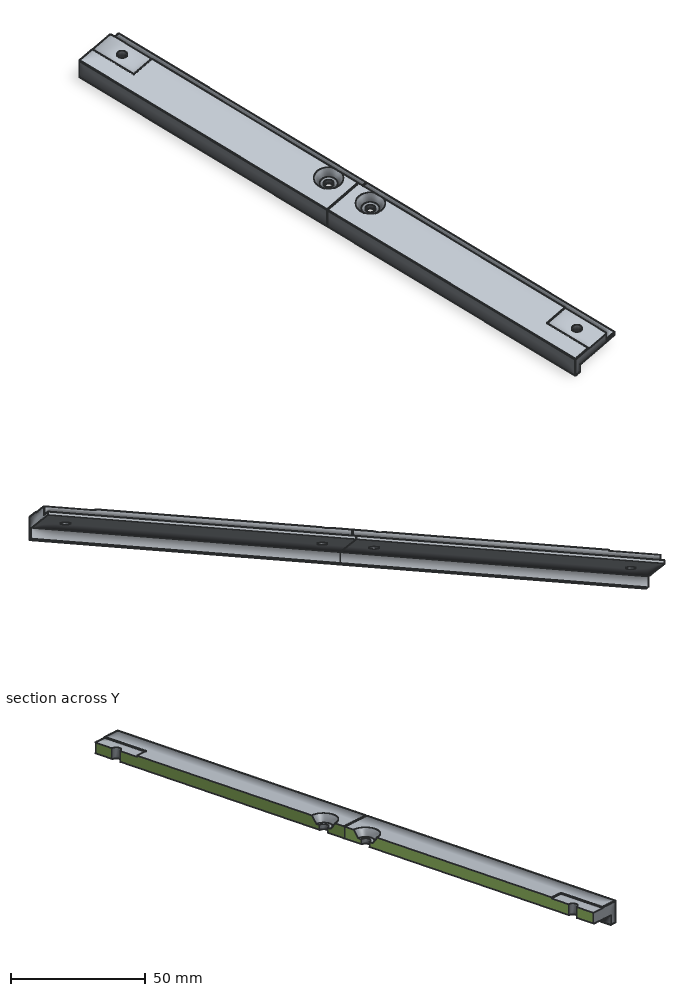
import cadquery as cq

TOTAL_LENGTH = 240.0
RAIL_LENGTH = TOTAL_LENGTH / 2
WIDTH = 23.0
HEIGHT = 9.0

PLATE_THICKNESS = 5.0
LIP_THICKNESS = 3.0
TONGUE_WIDTH = 4.8
TONGUE_THICKNESS = 1.5
EDGE_CHAMFER = 0.2

HOLE_FROM_END = 10.0
HOLE_FROM_BACK = 10.0
HOLE_DIAMETER = 3.8
SINK_TOP_DIAMETER = 11.0
SINK_FLOOR_DIAMETER = 6.7
SINK_DEPTH = 3.0
RECESS_LENGTH = 2 * HOLE_FROM_END
RECESS_WIDTH = 2 * (HOLE_FROM_BACK - TONGUE_WIDTH)
RECESS_DEPTH = 0.5

FRONT_Y = -WIDTH / 2
BACK_Y = WIDTH / 2
TOP_Z = HEIGHT / 2
BOTTOM_Z = -HEIGHT / 2
PLATE_BOTTOM_Z = TOP_Z - PLATE_THICKNESS
LIP_INNER_Y = FRONT_Y + LIP_THICKNESS
TONGUE_TOP_Z = PLATE_BOTTOM_Z + TONGUE_THICKNESS
WALL_Y = BACK_Y - TONGUE_WIDTH
HOLE_Y = BACK_Y - HOLE_FROM_BACK
INNER_HOLE_X = -HOLE_FROM_END
OUTER_HOLE_X = -RAIL_LENGTH + HOLE_FROM_END


def rail_blank():
    """Left rail without holes: the section extruded from the outer end to the joint at X = 0."""
    section = [
        (FRONT_Y, BOTTOM_Z),
        (LIP_INNER_Y, BOTTOM_Z),
        (LIP_INNER_Y, PLATE_BOTTOM_Z),
        (BACK_Y, PLATE_BOTTOM_Z),
        (BACK_Y, TONGUE_TOP_Z),
        (WALL_Y, TONGUE_TOP_Z),
        (WALL_Y, TOP_Z),
        (FRONT_Y, TOP_Z),
    ]
    return cq.Workplane("YZ", origin=(-RAIL_LENGTH, 0, 0)).polyline(section).close().extrude(RAIL_LENGTH)


def is_broken_edge(edge):
    """Pick the outer edges: not those of the plate underside, the lip's inner face or the wall foot."""
    tolerance = 2.4e-06
    center = edge.Center()
    under_plate = abs(center.z - PLATE_BOTTOM_Z) < tolerance
    inside_lip = abs(center.y - LIP_INNER_Y) < tolerance
    at_wall_foot = abs(center.y - WALL_Y) < tolerance and abs(center.z - TONGUE_TOP_Z) < tolerance
    return not (under_plate or inside_lip or at_wall_foot)


def break_edges(body):
    """Fine chamfer on the outer edges of a rail blank."""
    return body.newObject([edge for edge in body.edges().vals() if is_broken_edge(edge)]).chamfer(EDGE_CHAMFER)


def end_recess():
    """Shallow rectangular pocket, open at the outer end and at the back wall."""
    return (
        cq.Workplane("XY", origin=(OUTER_HOLE_X, HOLE_Y, TOP_Z - RECESS_DEPTH))
        .rect(RECESS_LENGTH, RECESS_WIDTH)
        .extrude(RECESS_DEPTH)
    )


def through_hole(x):
    """Plain screw hole through the plate."""
    return (
        cq.Workplane("XY", origin=(x, HOLE_Y, PLATE_BOTTOM_Z))
        .circle(HOLE_DIAMETER / 2)
        .extrude(PLATE_THICKNESS)
    )


def screw_sink():
    """Conical screw-head seat with a flat floor around the inner hole."""
    return (
        cq.Workplane("XY", origin=(INNER_HOLE_X, HOLE_Y, TOP_Z))
        .circle(SINK_TOP_DIAMETER / 2)
        .workplane(offset=-SINK_DEPTH)
        .circle(SINK_FLOOR_DIAMETER / 2)
        .loft()
    )


def rail():
    """Finished left rail."""
    body = break_edges(rail_blank()).cut(end_recess()).cut(screw_sink())
    for x in (INNER_HOLE_X, OUTER_HOLE_X):
        body = body.cut(through_hole(x))
    return body


left_rail = rail()
rails = [left_rail, left_rail.mirror("YZ")]

result = cq.Compound.makeCompound([body.val() for body in rails])